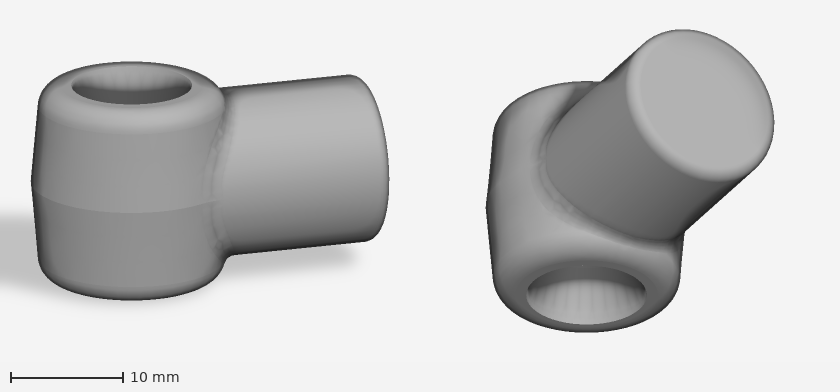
import cadquery as cq
import math

eye_diameter = 18.0
eye_height = 18.0
eye_taper = 5.0
eye_edge_radius = 2.0

bore_diameter = 8.1
mouth_depth = 5.0
mouth_taper = 15.0

shank_diameter = 15.0
shank_end_y = 22.0
shank_edge_radius = 1.0

joint_crown_radius = 1.1
joint_side_radius = 4.7

half_height = eye_height / 2
eye_end_radius = eye_diameter / 2 - half_height * math.tan(math.radians(eye_taper))
bore_radius = bore_diameter / 2
mouth_radius = bore_radius + mouth_depth * math.tan(math.radians(mouth_taper))


def make_eye():
    """Solid barrel, widest at mid height, with rounded end edges."""
    barrel = (
        cq.Workplane("YZ")
        .moveTo(0, -half_height)
        .lineTo(-eye_end_radius, -half_height)
        .lineTo(-eye_diameter / 2, 0)
        .lineTo(-eye_end_radius, half_height)
        .lineTo(0, half_height)
        .close()
        .revolve(360, (0, 0, 0), (0, 1, 0))
    )
    return barrel.faces("|Z").edges().fillet(eye_edge_radius)


def make_shank():
    """Round bar from the eye axis to the rounded free end, its surface seam along the lowest line."""
    shank_base = cq.Plane(origin=(0, 0, 0), xDir=(0, 0, -1), normal=(0, 1, 0))
    bar = cq.Workplane(shank_base).circle(shank_diameter / 2).extrude(shank_end_y)
    return bar.faces(">Y").edges().fillet(shank_edge_radius)


def blend_joint(eye, shank):
    """Join eye and shank and round the inner corner, whose edges are the only free-form curves.

    The corner is two smooth chains of edges, one above and one below mid height. Along each chain
    the radius shrinks over the first edge, stays constant and grows back over the last edge.
    """
    body = eye.union(shank)
    blend = cq.occ_impl.shapes.BRepFilletAPI_MakeFillet(body.solids().val().wrapped)
    for edge in body.edges("%BSPLINE").vals():
        if blend.Contour(edge.wrapped) == 0:
            blend.Add(edge.wrapped)

    for chain in range(1, blend.NbContours() + 1):
        last_edge = blend.NbEdges(chain)
        blend.SetRadius(joint_side_radius, joint_crown_radius, chain, 1)
        for middle_edge in range(2, last_edge):
            blend.SetRadius(joint_crown_radius, chain, middle_edge)
        blend.SetRadius(joint_crown_radius, joint_side_radius, chain, last_edge)
    return cq.Workplane(cq.Shape.cast(blend.Shape()))


def make_bore():
    """Cutter for the bore: narrow in the middle, flared at both ends."""
    throat_end = half_height - mouth_depth
    return (
        cq.Workplane("XZ")
        .moveTo(0, -half_height)
        .lineTo(mouth_radius, -half_height)
        .lineTo(bore_radius, -throat_end)
        .lineTo(bore_radius, throat_end)
        .lineTo(mouth_radius, half_height)
        .lineTo(0, half_height)
        .close()
        .revolve(360, (0, 0, 0), (0, 1, 0))
    )


result = blend_joint(make_eye(), make_shank()).cut(make_bore())